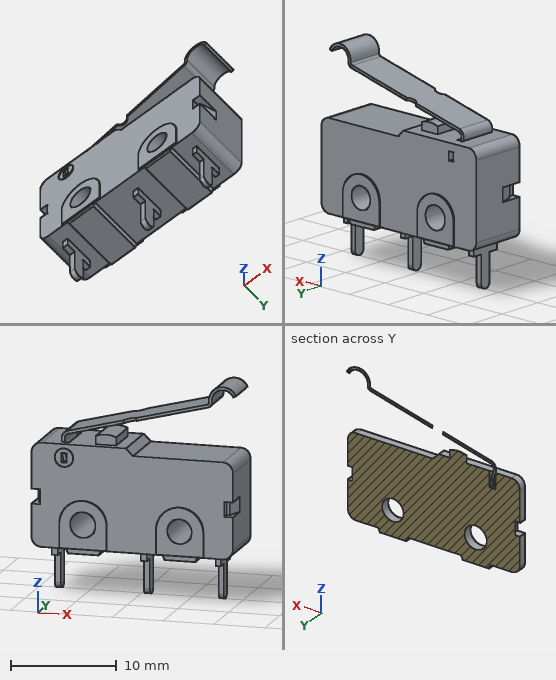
import math
import cadquery as cq


housing_left = -5.1
housing_length = 19.8
housing_right = housing_left + housing_length
housing_bottom = -2.45
housing_top = 7.7
housing_width = 6.1
front_y = -housing_width / 2
corner_radius = 1.0
step_start_x = 4.2
step_drop = 0.7

hole_spacing = 9.5
hole_diameters = {0.0: 2.5, hole_spacing: 2.4}
pad_radius = 2.325
pad_thickness = 0.15
pad_bottom = -2.4
foot_top_length = 3.4
foot_bottom_length = 3.0
foot_height = 0.45

recess_bottom = 1.7
recess_top = 3.15
recess_depth = 0.86
recess_floor_depth = 0.54
recess_ramp_reach = 2.4
cover_thickness = 0.83

terminal_thicknesses = {-3.2: 0.6, 5.55: 0.6, 12.85: 0.5}
terminal_tip = -7.0
terminal_width = 1.2
terminal_root_width = 3.3
terminal_root_bottom = housing_bottom - 1.05

lever_width = 4.0
lever_front_y = front_y + cover_thickness
lever_center_y = lever_front_y + lever_width / 2
lever_thickness = 0.3
lever_angle = 14.2
lever_top = 14.1
lever_end_x = 14.77
hook_outer_radius = 1.4
hook_center_x = 13.5
hook_undercut_angle = 6.0
neck_radius = 0.4
arm_length = 14.1
heel_radius = 0.66
leg_length = 1.85
notch_radius = 0.7
notch_depth = 0.38
notch_x = 4.32
notch_z = 10.37

boss_x = -1.88
boss_z = 6.4
boss_diameter = 1.8
boss_height = 0.08
window_left = -2.15
window_right = -1.6
window_bottom = 5.93
window_top = 6.85
slot_left = -2.25
slot_back_gap = 0.08

plunger_left = 1.0
plunger_length = 2.0
plunger_side_height = 0.8
plunger_crown_height = 1.0


def box(x_range, y_range, z_range):
    """Axis-aligned block given by its lower and upper limits."""
    sizes = [high - low for low, high in (x_range, y_range, z_range)]
    corner = (x_range[0], y_range[0], z_range[0])
    return cq.Workplane("XY").box(*sizes, centered=False).translate(corner)


def side_plane(y):
    """X-Z sketch plane at the given Y; positive extrusion runs toward -Y."""
    return cq.Workplane("XZ", origin=(0, y, 0))


def make_housing():
    outline = [
        (housing_left, housing_bottom),
        (housing_right, housing_bottom),
        (housing_right, housing_top - step_drop),
        (step_start_x + step_drop, housing_top - step_drop),
        (step_start_x, housing_top),
        (housing_left, housing_top),
    ]
    block = side_plane(0).polyline(outline).close().extrude(housing_width / 2, both=True)
    return block.edges("|Y and (<X or >X)").fillet(corner_radius)


def make_pad(hole_x):
    """Round-topped pad raised on both faces around a mounting hole."""
    return (
        side_plane(0)
        .moveTo(hole_x - pad_radius, pad_bottom)
        .lineTo(hole_x + pad_radius, pad_bottom)
        .lineTo(hole_x + pad_radius, 0)
        .threePointArc((hole_x, pad_radius), (hole_x - pad_radius, 0))
        .close()
        .extrude(housing_width / 2 + pad_thickness, both=True)
    )


def make_foot(hole_x):
    """Tapered foot under a mounting hole, across the full housing width."""
    outline = [
        (hole_x - foot_top_length / 2, housing_bottom),
        (hole_x - foot_bottom_length / 2, housing_bottom - foot_height),
        (hole_x + foot_bottom_length / 2, housing_bottom - foot_height),
        (hole_x + foot_top_length / 2, housing_bottom),
    ]
    return side_plane(0).polyline(outline).close().extrude(housing_width / 2, both=True)


def make_recess(wall_x, inward):
    """Recess cutter: a flat floor behind the cover, then a ramp out to the end wall."""
    outline = [
        (wall_x, front_y),
        (wall_x + inward * recess_depth, front_y),
        (wall_x + inward * recess_depth, front_y + cover_thickness),
        (wall_x + inward * recess_floor_depth, front_y + cover_thickness),
        (wall_x, front_y + recess_ramp_reach),
    ]
    plane = cq.Workplane("XY", origin=(0, 0, recess_bottom))
    return plane.polyline(outline).close().extrude(recess_top - recess_bottom)


def make_terminal(center_x, thickness):
    """Flat terminal with a wide root and a round-ended pin."""
    tip_radius = terminal_width / 2
    round_start = terminal_tip + tip_radius
    root_half = terminal_root_width / 2
    profile = (
        cq.Workplane("YZ", origin=(center_x, 0, 0))
        .moveTo(-root_half, housing_bottom)
        .lineTo(-root_half, terminal_root_bottom)
        .lineTo(-tip_radius, terminal_root_bottom)
        .lineTo(-tip_radius, round_start)
        .threePointArc((0, terminal_tip), (tip_radius, round_start))
        .lineTo(tip_radius, terminal_root_bottom)
        .lineTo(root_half, terminal_root_bottom)
        .lineTo(root_half, housing_bottom)
        .close()
    )
    return profile.extrude(thickness / 2, both=True)


def make_plunger():
    right = plunger_left + plunger_length
    crown = (plunger_left + plunger_length / 2, housing_top + plunger_crown_height)
    return (
        side_plane(lever_center_y)
        .moveTo(plunger_left, housing_top)
        .lineTo(right, housing_top)
        .lineTo(right, housing_top + plunger_side_height)
        .threePointArc(crown, (plunger_left, housing_top + plunger_side_height))
        .close()
        .extrude(lever_width / 2, both=True)
    )


def strip_piece(start, heading, length=0.0, radius=0.0, turn=0.0):
    """One straight or bent piece of the lever strip, with its end point and end heading.

    The start lies on the middle of the strip. Headings and turns are in degrees
    and a positive turn is counter-clockwise in the X-Z plane.
    """
    half = lever_thickness / 2

    def offset(point, angle, distance):
        rad = math.radians(angle)
        return (point[0] + distance * math.cos(rad), point[1] + distance * math.sin(rad))

    if turn == 0:
        end = offset(start, heading, length)
        corners = [
            offset(start, heading + 90, half),
            offset(end, heading + 90, half),
            offset(end, heading - 90, half),
            offset(start, heading - 90, half),
        ]
        sketch = side_plane(lever_center_y).polyline(corners).close()
    else:
        to_center = heading + math.copysign(90, turn)
        center = offset(start, to_center, radius)
        first = to_center + 180
        middle = first + turn / 2
        last = first + turn
        end = offset(center, last, radius)
        outer = radius + half
        inner = radius - half
        sketch = (
            side_plane(lever_center_y)
            .moveTo(*offset(center, first, outer))
            .threePointArc(offset(center, middle, outer), offset(center, last, outer))
            .lineTo(*offset(center, last, inner))
            .threePointArc(offset(center, middle, inner), offset(center, first, inner))
            .close()
        )
    return sketch.extrude(lever_width / 2, both=True), end, heading + turn


def make_lever():
    hook_radius = hook_outer_radius - lever_thickness / 2
    hook_center_z = lever_top - hook_outer_radius
    tip_angle = math.degrees(math.acos((lever_end_x - hook_center_x) / hook_outer_radius))
    point = (
        hook_center_x + hook_radius * math.cos(math.radians(tip_angle)),
        hook_center_z + hook_radius * math.sin(math.radians(tip_angle)),
    )
    heading = tip_angle + 90
    pieces = [
        {"radius": hook_radius, "turn": 180 - tip_angle + hook_undercut_angle},
        {"radius": neck_radius, "turn": lever_angle - 90 - hook_undercut_angle},
        {"length": arm_length},
        {"radius": heel_radius, "turn": 90},
        {"length": leg_length},
    ]
    lever = None
    for piece in pieces:
        body, point, heading = strip_piece(point, heading, **piece)
        lever = body if lever is None else lever.union(body)
    leg = body
    return lever.cut(make_notches()).union(make_leg_tab(leg))


def make_leg_tab(leg):
    """Forward extension of the leg that fills its outline in the window up to the front face."""
    tab_length = lever_front_y - front_y
    tab = leg.faces("<Y").wires().toPending().workplane().extrude(tab_length)
    return tab.intersect(make_window())


def make_notches():
    """Cutters for the two round notches, square to the arm, in its long edges."""
    center_offset = lever_width / 2 + notch_radius - notch_depth
    tilt = math.radians(lever_angle)
    plane = cq.Plane(
        origin=(notch_x, lever_center_y, notch_z),
        xDir=(math.cos(tilt), 0, math.sin(tilt)),
        normal=(-math.sin(tilt), 0, math.cos(tilt)),
    )
    centers = [(0, -center_offset), (0, center_offset)]
    circles = cq.Workplane(plane).pushPoints(centers).circle(notch_radius)
    return circles.extrude(2 * lever_thickness, both=True)


def make_leg_slot():
    """Slot in the top face that lets the lever leg down into the window."""
    slot_back_y = lever_front_y + lever_width + slot_back_gap
    return box((slot_left, window_right), (lever_front_y, slot_back_y), (window_bottom, housing_top))


def make_window():
    y_limits = (front_y - boss_height, housing_width / 2)
    return box((window_left, window_right), y_limits, (window_bottom, window_top))


def make_mounting_hole(hole_x, diameter):
    half_depth = housing_width / 2 + pad_thickness
    return side_plane(0).center(hole_x, 0).circle(diameter / 2).extrude(half_depth, both=True)


def make_boss():
    """Low round boss on the front face around the window."""
    return side_plane(front_y).center(boss_x, boss_z).circle(boss_diameter / 2).extrude(boss_height)


body = make_housing()
for hole_x, diameter in hole_diameters.items():
    body = body.union(make_pad(hole_x)).union(make_foot(hole_x))
    body = body.cut(make_mounting_hole(hole_x, diameter))
for wall_x, inward in ((housing_left, 1), (housing_right, -1)):
    body = body.cut(make_recess(wall_x, inward))

body = body.union(make_boss()).cut(make_window()).cut(make_leg_slot())

for terminal_x, thickness in terminal_thicknesses.items():
    body = body.union(make_terminal(terminal_x, thickness))

result = body.union(make_plunger()).union(make_lever())